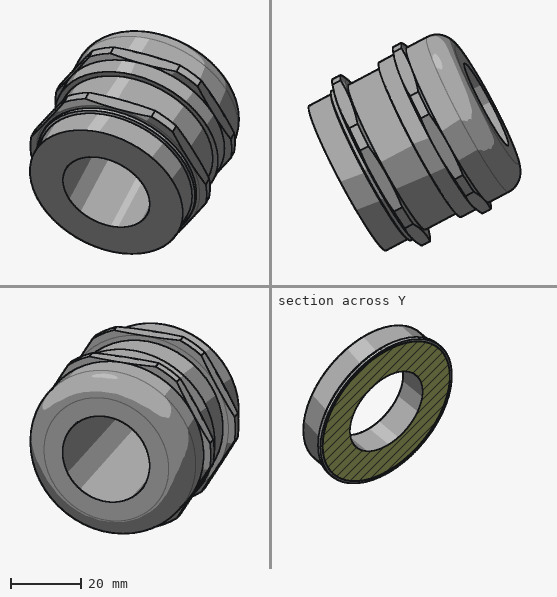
import cadquery as cq
import math

total_length = 45.0
bore_radius = 13.25

body_radius = 23.4

ring_radius = 24.15
ring_start = 7.3
ring_end = 8.75
ring_taper_length = 0.3

across_flats = 50.0
corner_radius = 26.95
hex_thickness = 3.9
hex_chamfer_height = 0.6
body_hex_start = 8.95
cap_hex_start = 28.65

cap_radius = across_flats / 2
cap_start = 23.5
dome_radius = 6.0


def cylinder(radius, start, end):
    """Solid cylinder along Y between two stations."""
    return cq.Workplane("XZ", origin=(0, start, 0)).circle(radius).extrude(start - end)


def chamfered_hexagon(start):
    """Hexagon with two corners on X, trimmed by a double-coned disc."""
    corner_diameter = across_flats / math.cos(math.pi / 6)
    end = start + hex_thickness
    prism = (
        cq.Workplane("XZ", origin=(0, start, 0))
        .polygon(6, corner_diameter)
        .extrude(-hex_thickness)
    )
    disc = (
        cq.Workplane("XY")
        .moveTo(0, start)
        .lineTo(across_flats / 2, start)
        .lineTo(corner_radius, start + hex_chamfer_height)
        .lineTo(corner_radius, end - hex_chamfer_height)
        .lineTo(across_flats / 2, end)
        .lineTo(0, end)
        .close()
        .revolve(360, (0, 0, 0), (0, 1, 0))
    )
    return prism.intersect(disc)


body = cylinder(body_radius, 0, cap_start)
ring = (
    cq.Workplane("XY")
    .moveTo(0, ring_start)
    .lineTo(body_radius, ring_start)
    .lineTo(ring_radius, ring_start + ring_taper_length)
    .lineTo(ring_radius, ring_end)
    .lineTo(0, ring_end)
    .close()
    .revolve(360, (0, 0, 0), (0, 1, 0))
)
cap = cylinder(cap_radius, cap_start, total_length).faces(">Y").edges().fillet(dome_radius)

result = body.union(ring).union(cap)
for hex_start in (body_hex_start, cap_hex_start):
    result = result.union(chamfered_hexagon(hex_start))

result = result.cut(cylinder(bore_radius, 0, total_length))